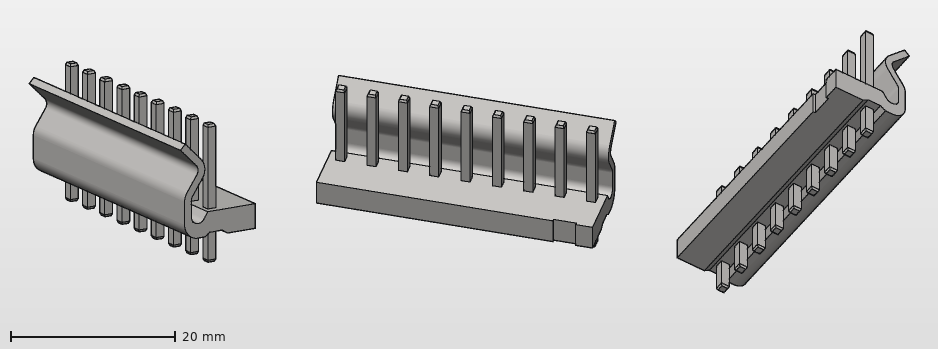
import cadquery as cq
import math


length = 34.88
depth = 10.75
base_height = 3.15
back_y = 5.6
tip_y = back_y - depth
groove_edge_y = -1.22

pin_count = 9
pin_end_margin = 1.6
pin_pitch = (length - 2 * pin_end_margin) / (pin_count - 1)
pin_size = 1.15
pin_bottom_z = -3.65
pin_height = 17.45
pin_tip_inset = 0.15
pin_tip_height = 0.3

channel_depth = 0.5
channel_top_half = 0.9
channel_mouth_half = 1.65

notch_width = 2.85
notch_depth = 0.3
notch_start = 2.13

wall = 0.98
outer_radius = 1.95
inner_radius = outer_radius - wall
front_y = -4.55
bend_y = front_y + outer_radius
lower_bend_z = 4.9
upper_bend_y = -3.6
upper_bend_z = 8.58
lip_angle = 45.0

groove_radius = inner_radius
groove_z = 2.83


def polar(center, radius, angle):
    """Point at a radius and an angle in degrees (from +Y towards +Z) around a center."""
    turn = math.radians(angle)
    return (center[0] + radius * math.cos(turn), center[1] + radius * math.sin(turn))


def make_housing():
    """Extrude the base and latch wall as one cross-section along X."""
    lower_bend = (bend_y, lower_bend_z)
    upper_bend = (upper_bend_y, upper_bend_z)
    groove = (bend_y, groove_z)

    rise_y = upper_bend_y - bend_y
    rise_z = upper_bend_z - lower_bend_z
    center_angle = math.degrees(math.atan2(rise_z, rise_y))
    spread = math.degrees(math.acos((outer_radius + inner_radius) / math.hypot(rise_y, rise_z)))
    slope_normal = center_angle + spread
    lower_middle = (180.0 + slope_normal) / 2

    upper_start = slope_normal - 180.0
    lip_normal = 90.0 - lip_angle
    upper_middle = (upper_start + lip_normal) / 2

    lip_start = polar(upper_bend, inner_radius, lip_normal)
    lip_length = (lip_start[0] - tip_y) / math.cos(math.radians(lip_angle))
    tip_front = polar(lip_start, lip_length, lip_normal + 90.0)
    tip_back = polar(tip_front, wall, lip_normal)

    edge_y = groove_edge_y - bend_y
    edge_z = base_height - groove_z
    edge_angle = math.degrees(math.atan2(edge_z, edge_y))
    tangent_angle = edge_angle - math.degrees(math.acos(groove_radius / math.hypot(edge_y, edge_z)))
    groove_middle = (tangent_angle - 180.0) / 2

    profile = (
        cq.Workplane("YZ")
        .moveTo(back_y, 0)
        .lineTo(channel_mouth_half, 0)
        .lineTo(channel_top_half, channel_depth)
        .lineTo(-channel_top_half, channel_depth)
        .lineTo(-channel_mouth_half, 0)
        .lineTo(bend_y, 0)
        .threePointArc(polar((bend_y, outer_radius), outer_radius, 225.0), (front_y, outer_radius))
        .lineTo(front_y, lower_bend_z)
        .threePointArc(
            polar(lower_bend, outer_radius, lower_middle),
            polar(lower_bend, outer_radius, slope_normal),
        )
        .lineTo(*polar(upper_bend, inner_radius, upper_start))
        .threePointArc(polar(upper_bend, inner_radius, upper_middle), lip_start)
        .lineTo(*tip_front)
        .lineTo(*tip_back)
        .lineTo(*polar(upper_bend, outer_radius, lip_normal))
        .threePointArc(
            polar(upper_bend, outer_radius, upper_middle),
            polar(upper_bend, outer_radius, upper_start),
        )
        .lineTo(*polar(lower_bend, inner_radius, slope_normal))
        .threePointArc(
            polar(lower_bend, inner_radius, lower_middle),
            (front_y + wall, lower_bend_z),
        )
        .lineTo(front_y + wall, groove_z)
        .threePointArc(
            polar(groove, groove_radius, groove_middle),
            polar(groove, groove_radius, tangent_angle),
        )
        .lineTo(groove_edge_y, base_height)
        .lineTo(back_y, base_height)
        .close()
    )
    return profile.extrude(length / 2, both=True)


def make_notch():
    """Shallow full-height cut in the back face near the -X end."""
    return (
        cq.Workplane("XY")
        .box(notch_width, notch_depth, base_height, centered=False)
        .translate((notch_start - length / 2, back_y - notch_depth, 0))
    )


def make_pin():
    """Square pin on the Z axis with tapered ends."""
    pin = cq.Workplane("XY").box(pin_size, pin_size, pin_height)
    pin = pin.faces("<Z or >Z").chamfer(pin_tip_height, pin_tip_inset)
    return pin.translate((0, 0, pin_bottom_z + pin_height / 2))


result = make_housing().cut(make_notch())
for index in range(pin_count):
    pin_x = (index - (pin_count - 1) / 2) * pin_pitch
    result = result.union(make_pin().translate((pin_x, 0, 0)))